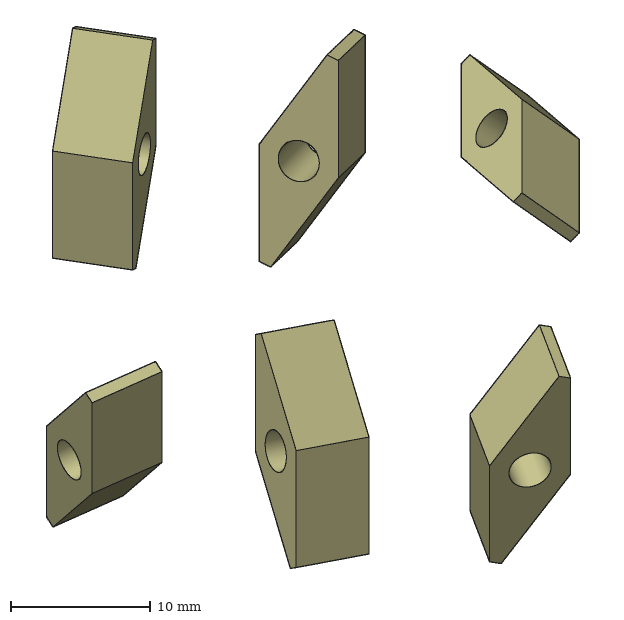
import cadquery as cq

width = 6.0
depth = 6.0
height = 16.56

tip_flat_depth = 0.86
tip_flat_drop = 0.33
shoulder_height = 0.96

hole_diameter = 3.11

half_depth = depth / 2
half_height = height / 2

upper_half = [
    (half_depth, half_height - tip_flat_drop),
    (half_depth - tip_flat_depth, half_height),
    (-half_depth, shoulder_height),
]
lower_half = [(-y, -z) for y, z in upper_half]

body = cq.Workplane("YZ").polyline(upper_half + lower_half).close().extrude(width / 2, both=True)

hole = cq.Workplane("YZ").circle(hole_diameter / 2).extrude(width / 2, both=True)

result = body.cut(hole)